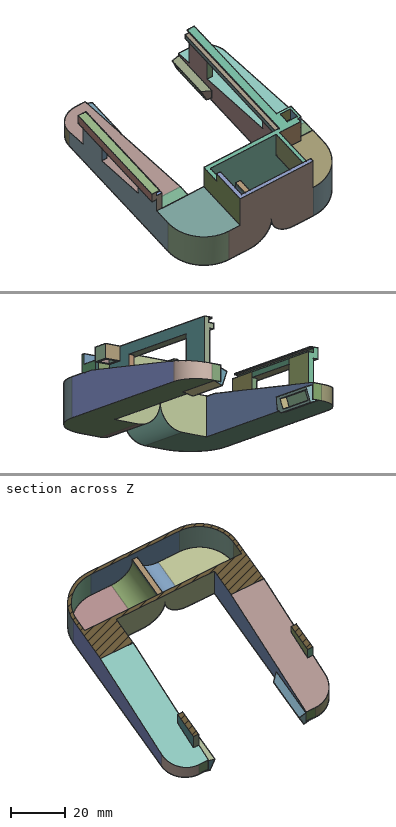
import cadquery as cq
import math

base_length = 89.2
base_width = 69.6
arm_width = 14.0
arm_tip_height = 6.3
arm_top = 15.4
slope_end = 61.0
back_start = 65.9
back_top = 15.6
tip_radius = 10.0
back_radius = 16.0
mid_y = base_width / 2
north_arm_face = base_width - arm_width

shell = 1.1
outer_wall = 1.5
front_wall = 1.8
groove_radius = 10.0
groove_y = 35.0
hollow_start = back_start + front_wall
hollow_end = base_length - outer_wall

box_south = 21.0
box_north = 53.5
south_wall = 1.7
box_top = 30.1
rim = 26.05
raised_start = 74.1
tab_north = 63.0

rail_bottom = 21.8
slot_bottom = 23.9
slot_top = 25.5
post_length = 12.0
tip_post_length = 11.6
post_thickness = 2.3
rail_thickness = 1.9
upper_lip = 1.3
lower_lip = 2.2
north_rail_start = 6.9
north_rail_outer = north_arm_face + post_thickness
south_rail_start = 18.7
south_rail_outer = -2.1

socket_size = 6.5
socket_hole = 4.5
socket_bottom = 20.4

pad_start = 0.3
pad_end = 21.4
pad_tilt = 20.0
pad_height = 6.1
pad_depth = 4.5
pad_bottom = -1.3
pad_overhang = 2.9
pad_chamfer_start = 18.6
pad_face_y = north_arm_face - pad_overhang
pad_toe_y = pad_face_y + pad_height * math.sin(math.radians(pad_tilt))
magnet_x = 1.25
magnet_length = 15.5
magnet_height = 3.9
magnet_depth = 3.0


def block(x0, x1, y0, y1, z0, z1):
    """Box between two opposite corners."""
    return cq.Workplane("XY").box(x1 - x0, y1 - y0, z1 - z0, centered=False).translate((x0, y0, z0))


def prism_x(points, x0, x1):
    """Prism along X from a closed (Y, Z) outline."""
    return cq.Workplane("YZ", origin=(x0, 0, 0)).polyline(points).close().extrude(x1 - x0)


def arms():
    """Both arms, with rounded tips and a sloping top that is level near the back."""
    profile = [(0, 0), (back_start, 0), (back_start, arm_top), (slope_end, arm_top), (0, arm_tip_height)]
    slab = cq.Workplane("XZ").polyline(profile).close().extrude(-base_width)
    opening = block(0, back_start, arm_width, north_arm_face, 0, arm_top)
    return slab.edges("|Z and <X").fillet(tip_radius).cut(opening)


def back_block(inset, z0, z1):
    """Back of the U with its two rounded corners, shrunk by an inset on the three outer sides."""
    return (
        block(back_start, base_length - inset, inset, base_width - inset, z0, z1)
        .edges("|Z and >X")
        .fillet(back_radius - inset)
    )


def ridge(half_width, bottom, top):
    """Ridge along X with concave quarter-round sides; at zero half width it peaks in a sharp cusp."""
    radius = groove_radius - half_width
    axis_z = bottom + radius
    diagonal = math.sqrt(0.5) * radius
    profile = cq.Workplane("YZ", origin=(back_start, 0, 0)).moveTo(groove_y - groove_radius, bottom)
    profile = profile.threePointArc(
        (groove_y - groove_radius + diagonal, axis_z - diagonal), (groove_y - half_width, axis_z)
    )
    if half_width > 0:
        profile = (
            profile.lineTo(groove_y - half_width, top)
            .lineTo(groove_y + half_width, top)
            .lineTo(groove_y + half_width, axis_z)
        )
    profile = profile.threePointArc(
        (groove_y + groove_radius - diagonal, axis_z - diagonal), (groove_y + groove_radius, bottom)
    )
    return profile.close().extrude(base_length - back_start)


def back_hollow():
    """Space inside the back: a level floor with the ridge over the groove left standing."""
    hollow = back_block(outer_wall, shell, back_top - shell)
    hollow = hollow.cut(block(back_start, hollow_start, 0, base_width, 0, back_top))
    return hollow.cut(ridge(shell, shell, groove_radius + shell))


def box_shell():
    """Raised box walls; the front and north walls and part of the south wall stop at the rim."""
    walls = block(back_start, base_length, box_south, box_north, back_top, box_top)
    low_front = block(back_start, raised_start, box_south, box_north, rim, box_top)
    low_north = block(back_start, hollow_end, box_north - outer_wall, box_north, rim, box_top)
    tab = block(back_start, hollow_start, box_north, tab_north, back_top, rim)
    return walls.cut(low_front).cut(low_north).union(tab)


def box_opening():
    """Inside of the box, open at the top and reaching down into the hollow."""
    return block(
        hollow_start, hollow_end, box_south + south_wall, box_north - outer_wall, back_top - shell, box_top
    )


def rail(outer_y, slot_y, start):
    """Rail open towards the middle, with a short upper lip and a longer lower lip."""
    inward = math.copysign(1, slot_y - outer_y)
    upper_y = slot_y + inward * upper_lip
    lower_y = slot_y + inward * lower_lip
    profile = [
        (outer_y, rail_bottom),
        (outer_y, rim),
        (upper_y, rim),
        (upper_y, slot_top),
        (slot_y, slot_top),
        (slot_y, slot_bottom),
        (lower_y, slot_bottom),
        (lower_y, rail_bottom),
    ]
    return prism_x(profile, start, back_start)


def posts(inner_y, start, first_length):
    """Two posts under a rail, one at its free end and one at the back."""
    outer_y = inner_y + post_thickness
    first = block(start, start + first_length, inner_y, outer_y, 0, slot_bottom)
    last = block(back_start - post_length, back_start, inner_y, outer_y, 0, slot_bottom)
    return first.union(last)


def socket():
    """Square tube against the back, open at both ends."""
    x0 = back_start - socket_size
    y0 = north_rail_outer
    wall = (socket_size - socket_hole) / 2
    tube = block(x0, back_start, y0, y0 + socket_size, socket_bottom, rim)
    hole = block(x0 + wall, back_start - wall, y0 + wall, y0 + socket_size - wall, socket_bottom, rim)
    return tube.cut(hole)


def tilted_block(x0, x1, depth, z0, z1):
    """Box leaning with the north pad; depth runs from the pad face and Z from its bottom edge."""
    return (
        block(x0, x1, 0, depth, z0, z1)
        .rotate((0, 0, 0), (1, 0, 0), pad_tilt)
        .translate((0, pad_toe_y, pad_bottom))
    )


def north_pad():
    """Tilted pad on the inner face of the north arm, its +X end chamfered at the side and below."""
    run = pad_end - pad_chamfer_start
    side_chamfer = (
        cq.Workplane("XY", origin=(0, 0, pad_bottom))
        .polyline([(pad_chamfer_start, pad_face_y), (pad_end, pad_face_y), (pad_end, pad_face_y + run)])
        .close()
        .extrude(2 * pad_height)
    )
    bottom_chamfer = (
        cq.Workplane("XZ", origin=(0, pad_face_y, 0))
        .polyline([(pad_chamfer_start, pad_bottom), (pad_end, pad_bottom), (pad_end, pad_bottom + run)])
        .close()
        .extrude(-2 * pad_depth)
    )
    pad = tilted_block(pad_start, pad_end, pad_depth, 0, pad_height)
    return pad.cut(side_chamfer).cut(bottom_chamfer)


def north_magnet_pocket():
    """Blind pocket at mid height of the north pad face."""
    margin = (pad_height - magnet_height) / 2
    return tilted_block(magnet_x, magnet_x + magnet_length, magnet_depth, margin, margin + magnet_height)


def mirrored(shape):
    """Reflection of a shape onto the opposite arm."""
    return shape.mirror("XZ", (0, mid_y, 0))


def back():
    """Hollow back with its box and the rounded groove underneath."""
    body = back_block(0, 0, back_top).union(box_shell())
    return body.cut(back_hollow()).cut(box_opening()).cut(ridge(0, 0, groove_radius))


result = (
    arms()
    .union(back())
    .union(posts(north_arm_face, north_rail_start, tip_post_length))
    .union(rail(north_rail_outer, north_rail_outer - rail_thickness, north_rail_start))
    .union(posts(0, south_rail_start, post_length))
    .union(rail(south_rail_outer, 0, south_rail_start))
    .union(socket())
    .union(north_pad())
    .union(mirrored(north_pad()))
    .cut(north_magnet_pocket())
    .cut(mirrored(north_magnet_pocket()))
)